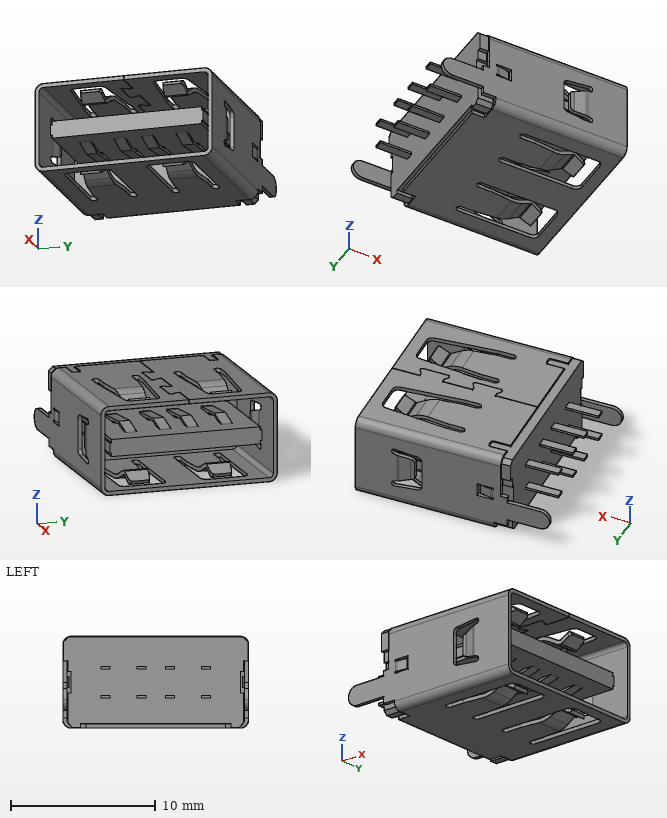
import cadquery as cq
import math


OVERALL_LENGTH = 14.7
SHELL_WIDTH = 12.9
SHELL_HEIGHT = 6.4
SHEET = 0.3
BEND_RADIUS = 0.6
TAIL_REACH = 3.7
SHELL_FRONT = OVERALL_LENGTH - TAIL_REACH
HALF_WIDTH = SHELL_WIDTH / 2
HALF_HEIGHT = SHELL_HEIGHT / 2
INNER_HALF_WIDTH = HALF_WIDTH - SHEET
INNER_HALF_HEIGHT = HALF_HEIGHT - SHEET

SKIRT_REACH = 0.49
SKIRT_TOP = -0.03
CORNER_RELIEF_TOP = -2.5
CORNER_RELIEF_FRONT = 0.51
BOTTOM_TAB_WIDTH = 9.7
TAIL_WIDTH = 1.51
TAIL_Z = -1.2

SEAM_GAP = 0.05
DOVETAIL_XS = (4.04, 8.04)
DOVETAIL_DEPTH = 0.8
DOVETAIL_NECK = 1.7
DOVETAIL_HEAD = 2.15
DOVETAIL_RADIUS = 0.12
DOVETAIL_STRAIGHT = 0.24

LEAF_YS = (-3.0, 3.0)
LEAF_ROOT_X = 3.59
LEAF_TAPER_X = 4.92
LEAF_TIP_X = 9.25
LEAF_SLOT_END_X = 10.04
LEAF_HALF_ROOT = 1.2
LEAF_HALF_TIP = 0.75
LEAF_SLOT_HALF_ROOT = 1.7
LEAF_SLOT_HALF_TIP = 1.22
LEAF_SLOT_RADIUS = 0.44
LEAF_TIP_RADIUS = 0.3
LEAF_BEND_X = 7.03
LEAF_BEND_RADIUS = 1.91
LEAF_DIP_X = 8.23
LEAF_DIP_LENGTH = 0.1
LEAF_DIP = 0.62
LEAF_LIP_X = 9.08
LEAF_LIP_DEPTH = 0.13
ARM_END_SHARE = 0.49
NEARLY_FULL = 0.999

SIDE_SLOT_END_X = 5.95
SIDE_TIP_X = 6.6
SIDE_KNEE_X = 6.9
SIDE_BEND_X = 7.78
SIDE_BEND_RADIUS = 0.5
SIDE_ROOT_X = 8.23
SIDE_DIP = 0.25
SIDE_HALF_TIP = 0.81
SIDE_HALF_ROOT = 1.25
SIDE_SLOT_HALF_END = 1.4
SIDE_SLOT_HALF_ROOT = 1.65
SIDE_SLOT_RADIUS = 0.35
SIDE_TIP_RADIUS = 0.26

BARB_HINGE_X = 0.56
BARB_BEND_X = 0.69
BARB_BEND_RADIUS = 0.88
BARB_TIP_X = 1.59
BARB_HOLE_END_X = 1.76
BARB_HEIGHT = 0.76
BARB_HOLE_HEIGHT = 1.0
BARB_DIP = 0.13

KEY_Y = 5.03
KEY_SLOT_WIDTH = 0.65
KEY_SLOT_LENGTH = 1.43
KEY_RADIUS = 0.18
KEY_GAP = 0.05

FLANGE_REAR = -0.74
FLANGE_FRONT = -0.05
FLANGE_INSET = 0.06
FLANGE_CHAMFER = 0.32
FLANGE_STEP_Z = 1.48
FLANGE_LOWER_HALF = 6.1
FOOT_FRONT = 0.49
FOOT_CHAMFER = 0.3
TAB_NOTCH_WIDTH = 10.44
TAB_NOTCH_GAP = 0.05
CHANNEL_HEIGHT = 1.47
CHANNEL_HALF_WIDTH = 5.88
BASE_FRONT = 2.94

TONGUE_FRONT = 10.29
TONGUE_WIDTH = 10.88
TONGUE_THICKNESS = 1.23
TONGUE_RIB_THICKNESS = 0.76
TONGUE_RIB_DEPTH = 0.12

CONTACT_YS = (-3.5, -1.0, 1.0, 3.5)
PIN_WIDTH = 0.62
PIN_THICKNESS = 0.18
PIN_Z = 1.0
PIN_REAR = -3.23
CONTACT_WIDTH = 0.8
CONTACT_THICKNESS = 0.19
CONTACT_START_X = 4.22
CONTACT_FREE_X = 6.2
CONTACT_CREST_X = 7.2
CONTACT_CREST_Z = 1.01
CONTACT_SLOPE = 0.09
PEDESTAL_Z = 0.7
CONTACT_END_X = 8.82


def block(x0, x1, y0, y1, z0, z1):
    """Box between the given limits."""
    return cq.Workplane("XY").box(x1 - x0, y1 - y0, z1 - z0, centered=False).translate((x0, y0, z0))


def long_bar(x0, x1, width, height):
    """Box along X, centred on Y = Z = 0."""
    return block(x0, x1, -width / 2, width / 2, -height / 2, height / 2)


def to_bottom(body):
    return body.rotate((0, 0, 0), (1, 0, 0), 180)


def mirrored_y(body):
    return body.mirror("XZ")


def leaf_plan(points):
    """Prism through the wall whose outline is given for +Y and mirrored to -Y."""
    outline = points + [(x, -y) for x, y in reversed(points)]
    depth = 4 * SHEET
    return cq.Workplane("XY").polyline(outline).close().extrude(2 * depth).translate((0, 0, -depth))


def sheet_profile(surface_points, thickness=SHEET, width=SHELL_WIDTH):
    """Sheet below an outer surface given as (x, z) points, extruded along Y."""
    normals = []
    for (xa, za), (xb, zb) in zip(surface_points, surface_points[1:]):
        run = math.hypot(xb - xa, zb - za)
        side = math.copysign(1, xb - xa)
        normals.append((side * (zb - za) / run, -side * (xb - xa) / run))
    inner = []
    for i, (x, z) in enumerate(surface_points):
        before = normals[max(i - 1, 0)]
        after = normals[min(i, len(normals) - 1)]
        scale = thickness / (1 + before[0] * after[0] + before[1] * after[1])
        inner.append((x + scale * (before[0] + after[0]), z + scale * (before[1] + after[1])))
    outline = surface_points + inner[::-1]
    return cq.Workplane("XZ").polyline(outline).close().extrude(width / 2, both=True)


def vertical_fillet(body, end, radius):
    """Round the selected Z edges of a prism."""
    return body.edges("|Z").edges(end).fillet(radius)


def round_bend(sheet, x, z, outer_radius, inner_radius):
    """Round both faces of a sheet at the bend whose outer edge lies at x, z."""
    for edge_z, radius in ((z, outer_radius), (z - SHEET, inner_radius)):
        sheet = sheet.edges(cq.selectors.NearestToPointSelector((x, 0, edge_z))).fillet(radius)
    return sheet


def top_spring(y, slot_half_tip):
    """Opening in the top wall and the bent leaf that stands in it."""
    window = leaf_plan([
        (LEAF_ROOT_X, LEAF_SLOT_HALF_ROOT),
        (LEAF_TAPER_X, LEAF_SLOT_HALF_ROOT),
        (LEAF_SLOT_END_X, slot_half_tip),
    ])
    window = vertical_fillet(window, ">X", LEAF_SLOT_RADIUS)
    leaf = leaf_plan([
        (LEAF_ROOT_X, LEAF_HALF_ROOT),
        (LEAF_TAPER_X, LEAF_HALF_ROOT),
        (LEAF_TIP_X, LEAF_HALF_TIP),
    ])
    leaf = vertical_fillet(leaf, ">X", LEAF_TIP_RADIUS)
    slot = vertical_fillet(window.cut(leaf), "<X", ARM_END_SHARE * (LEAF_SLOT_HALF_ROOT - LEAF_HALF_ROOT))
    start_x = LEAF_TAPER_X
    sheet = sheet_profile([
        (start_x, 0),
        (LEAF_BEND_X, 0),
        (LEAF_DIP_X - LEAF_DIP_LENGTH / 2, -LEAF_DIP),
        (LEAF_DIP_X + LEAF_DIP_LENGTH / 2, -LEAF_DIP),
        (LEAF_LIP_X, -LEAF_LIP_DEPTH),
    ])
    sheet = round_bend(sheet, LEAF_BEND_X, 0, LEAF_BEND_RADIUS, LEAF_BEND_RADIUS - SHEET)
    moving_part = leaf.intersect(long_bar(start_x, SHELL_FRONT, SHELL_WIDTH, SHELL_HEIGHT))
    place = (0, y, HALF_HEIGHT)
    return slot.union(moving_part).translate(place), leaf.intersect(sheet).translate(place)


def side_spring():
    """Opening in the -Y wall and the bent leaf that stands in it, pointing to -X."""
    window = leaf_plan([
        (SIDE_SLOT_END_X, SIDE_SLOT_HALF_END),
        (SIDE_ROOT_X, SIDE_SLOT_HALF_ROOT),
    ])
    window = vertical_fillet(window, "<X", SIDE_SLOT_RADIUS)
    leaf = leaf_plan([
        (SIDE_TIP_X, SIDE_HALF_TIP),
        (SIDE_ROOT_X, SIDE_HALF_ROOT),
    ])
    leaf = vertical_fillet(leaf, "<X", SIDE_TIP_RADIUS)
    slot = vertical_fillet(window.cut(leaf), ">X", ARM_END_SHARE * (SIDE_SLOT_HALF_ROOT - SIDE_HALF_ROOT))
    sheet = sheet_profile([
        (SIDE_ROOT_X, 0),
        (SIDE_BEND_X, 0),
        (SIDE_KNEE_X, -SIDE_DIP),
        (SIDE_TIP_X, -SIDE_DIP),
    ])
    sheet = round_bend(sheet, SIDE_BEND_X, 0, SIDE_BEND_RADIUS, SIDE_BEND_RADIUS - SHEET)
    sheet = round_bend(sheet, SIDE_KNEE_X, -SIDE_DIP, SIDE_BEND_RADIUS - SHEET, SIDE_BEND_RADIUS)
    return on_left_wall(slot.union(leaf)), on_left_wall(leaf.intersect(sheet))


def side_barb():
    """Opening in the -Y wall and the tab dented inwards from it, pointing to +X."""
    half_hole = BARB_HOLE_HEIGHT / 2
    opening = leaf_plan([(BARB_HINGE_X, half_hole), (BARB_HOLE_END_X, half_hole)])
    plan = leaf_plan([(BARB_HINGE_X, BARB_HEIGHT / 2), (BARB_TIP_X, BARB_HEIGHT / 2)])
    sheet = sheet_profile([(BARB_HINGE_X, 0), (BARB_BEND_X, 0), (BARB_TIP_X, -BARB_DIP)])
    sheet = round_bend(sheet, BARB_BEND_X, 0, BARB_BEND_RADIUS, BARB_BEND_RADIUS - SHEET)
    return on_left_wall(opening), on_left_wall(plan.intersect(sheet))


def on_left_wall(body):
    """Move a feature of a wall lying in Z = 0 to the -Y wall, outside to outside."""
    return body.rotate((0, 0, 0), (1, 0, 0), 90).translate((0, -HALF_WIDTH, 0))


def dovetail(x, growth):
    """Plan of one seam key, enlarged all round by a clearance."""
    neck = DOVETAIL_NECK / 2 + growth
    head = DOVETAIL_HEAD / 2 + growth
    depth = DOVETAIL_DEPTH + growth
    half = [
        (neck, growth),
        (neck, -DOVETAIL_STRAIGHT),
        (head, DOVETAIL_STRAIGHT - DOVETAIL_DEPTH),
        (head, -depth),
    ]
    outline = half + [(-px, py) for px, py in reversed(half)]
    plan = cq.Workplane("XY").polyline(outline).close().extrude(HALF_HEIGHT)
    plan = vertical_fillet(plan, "not >Y", DOVETAIL_RADIUS)
    return plan.translate((x, 0, 0))


def seam():
    """Thin gap along the middle of the top wall, running around the keys."""
    gap = block(-SKIRT_REACH, SHELL_FRONT, -SEAM_GAP / 2, SEAM_GAP / 2, INNER_HALF_HEIGHT, HALF_HEIGHT)
    for x in DOVETAIL_XS:
        gap = gap.union(dovetail(x, SEAM_GAP / 2)).cut(dovetail(x, 0))
        gap = gap.cut(block(x - DOVETAIL_NECK / 2, x + DOVETAIL_NECK / 2, 0, SEAM_GAP, 0, HALF_HEIGHT))
    return gap.cut(block(-SKIRT_REACH, SHELL_FRONT, -HALF_WIDTH, HALF_WIDTH, 0, INNER_HALF_HEIGHT))


def key_plan(y, gap):
    """Rounded key running from the flange into the top wall, slimmer by a gap."""
    width = KEY_SLOT_WIDTH / 2 - gap
    key = block(FLANGE_FRONT, KEY_SLOT_LENGTH - gap, y - width, y + width, INNER_HALF_HEIGHT, HALF_HEIGHT)
    return vertical_fillet(key, ">X", KEY_RADIUS)


def solder_tail():
    """Rounded tail that carries on the -Y wall to the rear."""
    radius = TAIL_WIDTH / 2
    tail = block(-TAIL_REACH, 0, -HALF_WIDTH, -INNER_HALF_WIDTH, TAIL_Z - radius, TAIL_Z + radius)
    return tail.edges("|Y and <X").fillet(radius * NEARLY_FULL)


def make_shell():
    tube = long_bar(-SKIRT_REACH, SHELL_FRONT, SHELL_WIDTH, SHELL_HEIGHT).edges("|X").fillet(BEND_RADIUS)
    bore = long_bar(-SKIRT_REACH, SHELL_FRONT, 2 * INNER_HALF_WIDTH, 2 * INNER_HALF_HEIGHT)
    tube = tube.cut(bore.edges("|X").fillet(BEND_RADIUS - SHEET))

    tube = tube.cut(block(-SKIRT_REACH, 0, -HALF_WIDTH, HALF_WIDTH, SKIRT_TOP, HALF_HEIGHT))
    relief = block(-SKIRT_REACH, CORNER_RELIEF_FRONT, -HALF_WIDTH, -BOTTOM_TAB_WIDTH / 2,
                   -HALF_HEIGHT, CORNER_RELIEF_TOP)
    tube = tube.cut(relief).cut(mirrored_y(relief))
    tail = solder_tail()
    tube = tube.union(tail).union(mirrored_y(tail))

    tube = tube.cut(seam())
    for y in (-KEY_Y, KEY_Y):
        tube = tube.cut(key_plan(y, 0))

    openings_and_leaves = []
    for y in LEAF_YS:
        openings_and_leaves.append(top_spring(y, LEAF_SLOT_HALF_TIP))
        openings_and_leaves.append([to_bottom(body) for body in top_spring(y, LEAF_SLOT_HALF_ROOT)])
    for opening, leaf in (side_spring(), side_barb()):
        openings_and_leaves += [(opening, leaf), (mirrored_y(opening), mirrored_y(leaf))]
    for opening, leaf in openings_and_leaves:
        tube = tube.cut(opening).union(leaf)
    return tube


def flange():
    """Rear plate with chamfered corners, relieved around the shell skirt and bottom tab."""
    width = SHELL_WIDTH - 2 * FLANGE_INSET
    height = SHELL_HEIGHT - 2 * FLANGE_INSET
    plate = long_bar(FLANGE_REAR, FLANGE_FRONT, width, height)
    plate = plate.edges("|X and >Z").chamfer(FLANGE_CHAMFER)
    foot = block(FLANGE_REAR, FOOT_FRONT, -FLANGE_LOWER_HALF, FLANGE_LOWER_HALF, -height / 2, 0)
    foot = foot.edges("|X and <Z").chamfer(FOOT_CHAMFER)
    above_step = block(FLANGE_REAR, FLANGE_FRONT, -HALF_WIDTH, HALF_WIDTH, FLANGE_STEP_Z, HALF_HEIGHT)
    between = block(FLANGE_REAR, FLANGE_FRONT, -FLANGE_LOWER_HALF, FLANGE_LOWER_HALF, 0, FLANGE_STEP_Z)
    notch = block(FLANGE_REAR, FOOT_FRONT, -TAB_NOTCH_WIDTH / 2, TAB_NOTCH_WIDTH / 2,
                  -HALF_HEIGHT, TAB_NOTCH_GAP - INNER_HALF_HEIGHT)
    return plate.intersect(above_step).union(between).union(foot.cut(notch))


def tongue():
    """Central tongue with a rib along each side."""
    blade = long_bar(BASE_FRONT, TONGUE_FRONT, TONGUE_WIDTH, TONGUE_THICKNESS)
    rib = long_bar(BASE_FRONT, TONGUE_FRONT, TONGUE_WIDTH + 2 * TONGUE_RIB_DEPTH, TONGUE_RIB_THICKNESS)
    return blade.union(rib)


def upper_contact(y):
    """Pin behind the flange and bowed contact on its pedestal above the tongue."""
    pin = block(PIN_REAR, BASE_FRONT, y - PIN_WIDTH / 2, y + PIN_WIDTH / 2,
                PIN_Z - PIN_THICKNESS / 2, PIN_Z + PIN_THICKNESS / 2)
    start_z = CONTACT_CREST_Z - CONTACT_SLOPE * (CONTACT_CREST_X - CONTACT_START_X)
    top = [
        (CONTACT_START_X, start_z),
        (CONTACT_CREST_X, CONTACT_CREST_Z),
        (CONTACT_END_X, TONGUE_THICKNESS / 2),
    ]
    beam = sheet_profile(top, CONTACT_THICKNESS, CONTACT_WIDTH).translate((0, y, 0))
    pedestal = block(CONTACT_START_X, CONTACT_FREE_X, y - CONTACT_WIDTH / 2, y + CONTACT_WIDTH / 2,
                     0, PEDESTAL_Z)
    return pin.union(pedestal).union(beam)


def make_insert():
    base = long_bar(FLANGE_REAR, BASE_FRONT, 2 * INNER_HALF_WIDTH, 2 * INNER_HALF_HEIGHT)
    base = base.edges("|X").fillet(BEND_RADIUS - SHEET)
    flange_space = block(FLANGE_REAR, FLANGE_FRONT, -HALF_WIDTH, HALF_WIDTH, -HALF_HEIGHT, HALF_HEIGHT)
    foot_space = block(FLANGE_REAR, FOOT_FRONT, -HALF_WIDTH, HALF_WIDTH, -HALF_HEIGHT, 0)
    insert = base.cut(flange_space).cut(foot_space).union(flange())
    for y in (-KEY_Y, KEY_Y):
        key = key_plan(y, KEY_GAP)
        insert = insert.union(key.translate((0, 0, -FLANGE_INSET)))
    channel = block(FLANGE_REAR, BARB_TIP_X, -HALF_WIDTH, -CHANNEL_HALF_WIDTH,
                    -CHANNEL_HEIGHT / 2, CHANNEL_HEIGHT / 2)
    insert = insert.cut(channel).cut(mirrored_y(channel)).union(tongue())
    for y in CONTACT_YS:
        contact = upper_contact(y)
        insert = insert.union(contact).union(to_bottom(contact))
    return insert


shell = make_shell()
insert = make_insert()
result = cq.Compound.makeCompound([shell.val(), insert.val()])